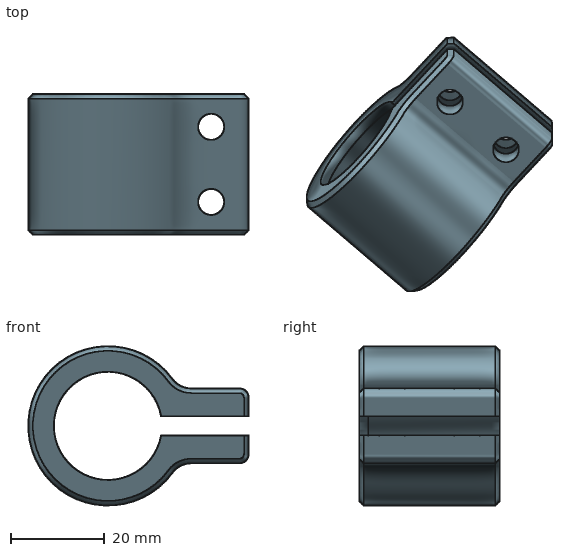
import cadquery as cq
import math

width = 30.0
outer_radius = 17.0
bore_radius = 12.7
lip_radius = 11.5
lip_thickness = 2.0
slot_gap = 4.0
ear_half_height = 8.0
ear_end_x = 30.0
ear_corner_radius = 2.0
neck_radius = 5.0
edge_chamfer = 1.0
hole_diameter = 5.5
hole_x = 22.0
hole_spacing = 16.0

neck_center_z = ear_half_height + neck_radius
neck_center_x = math.sqrt((outer_radius + neck_radius) ** 2 - neck_center_z ** 2)
ring_tangent_ratio = outer_radius / (outer_radius + neck_radius)
ring_tangent_x = neck_center_x * ring_tangent_ratio
ring_tangent_z = neck_center_z * ring_tangent_ratio


def neck_midpoint():
    """Point halfway along the upper neck arc, between the ring and the ear."""
    ring_angle = math.atan2(-neck_center_z, -neck_center_x)
    ear_angle = -math.pi / 2
    middle_angle = (ring_angle + ear_angle) / 2
    return (
        neck_center_x + neck_radius * math.cos(middle_angle),
        neck_center_z + neck_radius * math.sin(middle_angle),
    )


def make_body():
    """Solid ring-and-ear outline with rounded ear ends and chamfered rims."""
    neck_x, neck_z = neck_midpoint()
    corner_x = ear_end_x - ear_corner_radius
    corner_z = ear_half_height - ear_corner_radius
    corner_mid = ear_corner_radius * math.sqrt(0.5)
    outline = (
        cq.Workplane("XZ", origin=(0, width / 2, 0))
        .moveTo(ring_tangent_x, ring_tangent_z)
        .threePointArc((-outer_radius, 0), (ring_tangent_x, -ring_tangent_z))
        .threePointArc((neck_x, -neck_z), (neck_center_x, -ear_half_height))
        .lineTo(corner_x, -ear_half_height)
        .threePointArc((corner_x + corner_mid, -corner_z - corner_mid), (ear_end_x, -corner_z))
        .lineTo(ear_end_x, corner_z)
        .threePointArc((corner_x + corner_mid, corner_z + corner_mid), (corner_x, ear_half_height))
        .lineTo(neck_center_x, ear_half_height)
        .threePointArc((neck_x, neck_z), (ring_tangent_x, ring_tangent_z))
        .close()
    )
    return outline.extrude(width).edges("<Y or >Y").chamfer(edge_chamfer)


def make_bore():
    """Bore from the +Y end, stepping down to a thin lip at the -Y end."""
    bore_depth = width - lip_thickness
    back_plane = cq.Workplane("XZ", origin=(0, width / 2, 0))
    bore = back_plane.circle(bore_radius).extrude(bore_depth)
    lip_opening = back_plane.circle(lip_radius).extrude(width)
    return bore.union(lip_opening)


def make_slot():
    """Gap from the bore out through the ear ends."""
    return cq.Workplane("XY").box(ear_end_x, width, slot_gap, centered=(False, True, True))


def make_screw_holes():
    """Vertical clamping-screw holes through both ears."""
    return (
        cq.Workplane("XY", origin=(hole_x, 0, -ear_half_height))
        .rarray(1, hole_spacing, 1, 2)
        .circle(hole_diameter / 2)
        .extrude(2 * ear_half_height)
    )


result = make_body().cut(make_bore()).cut(make_slot()).cut(make_screw_holes())